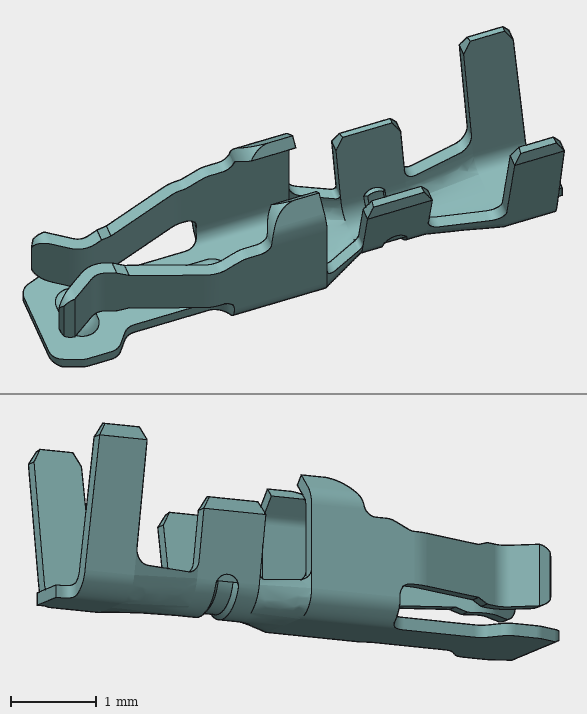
import cadquery as cq
import math

LENGTH = 6.45
SHEET = 0.15

INSULATION_Y = (5.605, 6.25)
CONDUCTOR_Y = (3.895, 4.7)
BOX_Y = (2.2, 3.355)

WING_TILT = 12.1
INSULATION_FLOOR, INSULATION_BEND = 0.265, 0.35
CONDUCTOR_FLOOR, CONDUCTOR_BEND = 0, 0.445
BOX_HALF_WIDTH, BOX_BEND = 0.715, 0.31
BOX_FLOOR = BOX_HALF_WIDTH - BOX_BEND
ROUND_FLOOR_SPLIT = -60
INSULATION = (INSULATION_FLOOR, INSULATION_BEND, WING_TILT)
CONDUCTOR = (CONDUCTOR_FLOOR, CONDUCTOR_BEND, WING_TILT)
BOX = (BOX_FLOOR, BOX_BEND, 0)

INSULATION_TOP = 2
CONDUCTOR_TOP = 1.33
TIP_TAPER = 0.14
TIP_BEVEL = 0.065
TIP_CORNER = (0.095, 0.17)
INSULATION_LEAN = 0.025

TAB_HALF_WIDTH = 0.25
TAB_FILLET = 0.13

TRANSITION_TOP = 0.41
INSULATION_FILLET = 0.18
CONDUCTOR_FILLET = 0.14
BOX_FILLET = 0.13
CRIMP_FRONT_FILLET = 0.065
LOW_WALL_TOP = 0.645

SERRATION_Y = 4.31
SERRATION_DEPTH = 0.055
SERRATION_HALF_WIDTH = 0.095
SERRATION_MOUTH = 0.15
SERRATION_TOP = 0.44
SERRATION_EMBED = 0.025

LIP_START_Z = 1.315
LIP_TOP = 1.715
LIP_ANGLE = 45

ARM_START_Y = 2.01
ARM_IN_ANGLE = 20
ARM_OUT_ANGLE = 36
ARM_BEND = 0.515
CONTACT_Y = 0.75
CONTACT_BEND = 0.19
ARM_TIP_Y = 0.11
ARM_TIP_HALF_SPAN = 0.52

ARM_BOTTOM, ARM_TOP = 0.485, 1.115
ARM_ROOT_FILLET = 0.14
PAD_START_Y, PAD_FULL_Y = 1.01, 0.88
PAD_BOTTOM, PAD_TOP = 0.425, 1.16
TIP_ROUND_LENGTH, TIP_ROUND_HEIGHT = 0.225, 0.18
SHOULDER_FOOT = (2.095, 1.135)
SHOULDER_HEAD = (2.265, 1.21)
SHOULDER_END = (2.38, 1.24)
LIP_FOOT = (2.515, 1.24)
LIP_TURN = (2.665, 1.35)
LIP_MIDDLE = (2.79, 1.605)
LIP_FRONT_Y = 3.03

STRIP_HALF_WIDTH = 0.4
STRIP_FILLET = 0.205
NECK_Y = 0.98
HEAD_HALF_WIDTH = 0.68
HEAD_SHOULDER_Y = 0.775
HEAD_TAPER_Y = 0.36
HEAD_FRONT_HALF_WIDTH = 0.54
HEAD_FILLET = 0.18
FRONT_BEVEL = (0.1, 0.05)

BEAD_HALF_WIDTH = 0.2
BEAD_HEIGHT = 0.085
BEAD_FLAT = 0.025
LONG_BEAD_Y = (1.375, 2.185)
CROSS_BEAD_Y = 0.51
CROSS_BEAD_HALF_LENGTH = 0.16


def polar(center, radius, degrees):
    angle = math.radians(degrees)
    return (center[0] + radius * math.cos(angle), center[1] + radius * math.sin(angle))


def mirrored(half):
    return half.union(half.mirror("YZ"))


def plane_at(y):
    """Plane across the part: local x is X, local y is Z, and extrusion runs toward +Y."""
    return cq.Workplane(cq.Plane(origin=(0, y, 0), xDir=(1, 0, 0), normal=(0, -1, 0)))


def side_plane():
    """Plane along the part: local x is Y and local y is Z."""
    return cq.Workplane("YZ")


def channel_half(workplane, section, top, taper=0, bevel=0):
    """Half section (x > 0) of a bent channel; the outer face of its wall can be bevelled at the tip."""
    floor, bend, tilt = section
    center = (floor, bend)
    inner_bend = bend - SHEET
    split = -90 if floor else ROUND_FLOOR_SPLIT
    floor_middle = (ROUND_FLOOR_SPLIT - 90) / 2
    middle = (split - tilt) / 2
    along = (math.sin(math.radians(tilt)), math.cos(math.radians(tilt)))
    inward = (-along[1], along[0])
    outer = polar(center, bend, -tilt)
    wall = (top - outer[1] - SHEET * along[0]) / along[1] - taper

    def on_wall(distance, depth):
        return tuple(outer[i] + distance * along[i] + depth * inward[i] for i in (0, 1))

    sketch = workplane.moveTo(0, 0)
    if floor:
        sketch = sketch.lineTo(floor, 0)
    else:
        sketch = sketch.threePointArc(polar(center, bend, floor_middle), polar(center, bend, split))
    sketch = sketch.threePointArc(polar(center, bend, middle), outer).lineTo(*on_wall(wall, 0))
    if taper:
        sketch = sketch.lineTo(*on_wall(wall + taper, bevel))
    sketch = sketch.lineTo(*on_wall(wall + taper, SHEET)).lineTo(*on_wall(0, SHEET))
    sketch = sketch.threePointArc(polar(center, inner_bend, middle), polar(center, inner_bend, split))
    if floor:
        sketch = sketch.lineTo(0, SHEET)
    else:
        sketch = sketch.threePointArc(polar(center, inner_bend, floor_middle), (0, SHEET))
    return sketch.close()


def crimp(section, span, top, lean=0):
    """Channel with two tall wings, bevelled outside at the tip and cut at the tip corners."""
    front, back = span
    half = channel_half(plane_at(front), section, top, TIP_TAPER, TIP_BEVEL).extrude(front - back)
    corner_length, corner_height = TIP_CORNER
    outline = [
        (front, 0),
        (back, 0),
        (back, section[1]),
        (back - lean, top - corner_height),
        (back - lean - corner_length, top),
        (front + corner_length, top),
        (front, top - corner_height),
    ]
    return mirrored(half.intersect(side_plane().polyline(outline).close().extrude(LENGTH)))


def wire_tab():
    start = INSULATION_Y[1]
    wide = TAB_HALF_WIDTH + TAB_FILLET
    half = channel_half(plane_at(start), INSULATION, LOW_WALL_TOP).extrude(start - LENGTH)
    corner = (wide, start + TAB_FILLET)
    plan = (
        cq.Workplane("XY")
        .moveTo(0, start)
        .lineTo(wide, start)
        .threePointArc(polar(corner, TAB_FILLET, 225), (TAB_HALF_WIDTH, start + TAB_FILLET))
        .lineTo(TAB_HALF_WIDTH, LENGTH)
        .lineTo(0, LENGTH)
        .close()
        .extrude(INSULATION_BEND)
    )
    return mirrored(half.intersect(plan))


def transition(front_section, back_section, front, back, front_fillet, back_fillet):
    """Lofted channel between two sections, cut down to low sides that sweep up at both ends."""
    start = channel_half(plane_at(front), front_section, LOW_WALL_TOP)
    half = channel_half(start.workplane(offset=front - back), back_section, LOW_WALL_TOP).loft(ruled=True)
    front_center = (front + front_fillet, TRANSITION_TOP + front_fillet)
    back_center = (back - back_fillet, TRANSITION_TOP + back_fillet)
    outline = (
        side_plane()
        .moveTo(front, 0)
        .lineTo(front, front_center[1])
        .threePointArc(polar(front_center, front_fillet, 225), (front_center[0], TRANSITION_TOP))
        .lineTo(back_center[0], TRANSITION_TOP)
        .threePointArc(polar(back_center, back_fillet, 315), (back, back_center[1]))
        .lineTo(back, 0)
        .close()
        .extrude(LENGTH)
    )
    return mirrored(half.intersect(outline))


def wire_transition():
    front, back = CONDUCTOR_Y[1], INSULATION_Y[0]
    return transition(CONDUCTOR, INSULATION, front, back, CONDUCTOR_FILLET, INSULATION_FILLET)


def box_transition():
    front, back = BOX_Y[1], CONDUCTOR_Y[0]
    return transition(BOX, CONDUCTOR, front, back, BOX_FILLET, CRIMP_FRONT_FILLET)


def serration_ring(base_radius, base_half_width, top_radius):
    """Trapezoid ridge around the bend axis of the conductor crimp, arched over at its ends."""
    ring = (
        cq.Workplane("XY")
        .moveTo(base_radius, -base_half_width)
        .lineTo(top_radius, -SERRATION_HALF_WIDTH)
        .lineTo(top_radius, SERRATION_HALF_WIDTH)
        .lineTo(base_radius, base_half_width)
        .close()
        .revolve(360, (0, 0, 0), (0, 1, 0))
        .translate((0, SERRATION_Y, CONDUCTOR_BEND))
    )
    arch_start = SERRATION_TOP - SERRATION_MOUTH
    arch = (
        side_plane()
        .moveTo(SERRATION_Y - SERRATION_MOUTH, 0)
        .lineTo(SERRATION_Y - SERRATION_MOUTH, arch_start)
        .threePointArc((SERRATION_Y, SERRATION_TOP), (SERRATION_Y + SERRATION_MOUTH, arch_start))
        .lineTo(SERRATION_Y + SERRATION_MOUTH, 0)
        .close()
        .extrude(LENGTH, both=True)
    )
    return ring.intersect(arch)


def serrated_conductor_crimp():
    body = crimp(CONDUCTOR, CONDUCTOR_Y, CONDUCTOR_TOP)
    inner_bend = CONDUCTOR_BEND - SHEET
    groove = serration_ring(CONDUCTOR_BEND, SERRATION_MOUTH, CONDUCTOR_BEND - SERRATION_DEPTH)
    ridge = serration_ring(inner_bend + SERRATION_EMBED, SERRATION_MOUTH, inner_bend - SERRATION_DEPTH)
    return body.cut(groove).union(ridge)


def box_wall_section():
    """Half section of the box: floor, lower bend, wall, upper bend and inward lip."""
    low = (BOX_FLOOR, BOX_BEND)
    high = (BOX_FLOOR, LIP_START_Z)
    inner_bend = BOX_BEND - SHEET
    lip_outer = polar(high, BOX_BEND, LIP_ANGLE)
    lip_inner = polar(high, inner_bend, LIP_ANGLE)
    rise = LIP_TOP - lip_outer[1]
    run = rise / math.tan(math.radians(LIP_ANGLE))
    return (
        plane_at(ARM_START_Y)
        .moveTo(0, 0)
        .lineTo(BOX_FLOOR, 0)
        .threePointArc(polar(low, BOX_BEND, -45), (BOX_HALF_WIDTH, BOX_BEND))
        .lineTo(BOX_HALF_WIDTH, LIP_START_Z)
        .threePointArc(polar(high, BOX_BEND, LIP_ANGLE / 2), lip_outer)
        .lineTo(lip_outer[0] - run, LIP_TOP)
        .lineTo(lip_inner[0] - run, lip_inner[1] + rise)
        .lineTo(*lip_inner)
        .threePointArc(polar(high, inner_bend, LIP_ANGLE / 2), (BOX_HALF_WIDTH - SHEET, LIP_START_Z))
        .lineTo(BOX_HALF_WIDTH - SHEET, BOX_BEND)
        .threePointArc(polar(low, inner_bend, -45), (BOX_FLOOR, SHEET))
        .lineTo(0, SHEET)
        .close()
        .extrude(ARM_START_Y - BOX_Y[1])
    )


def arm_plan():
    """Arm seen along Z: it runs inward from the wall, turns at the contact and flares out."""
    tan_in = math.tan(math.radians(ARM_IN_ANGLE))
    wall_center = (BOX_HALF_WIDTH - ARM_BEND, ARM_START_Y)
    inner_bend = ARM_BEND - SHEET
    bend_end = polar(wall_center, ARM_BEND, -ARM_IN_ANGLE)
    contact_start = (bend_end[0] - (bend_end[1] - CONTACT_Y) * tan_in, CONTACT_Y)
    contact_center = polar(contact_start, CONTACT_BEND, -ARM_IN_ANGLE)
    contact_bend = CONTACT_BEND + SHEET
    turn_in = 180 - ARM_IN_ANGLE
    turn_out = 180 + ARM_OUT_ANGLE
    turn_middle = (turn_in + turn_out) / 2
    flare_outer = polar(contact_center, CONTACT_BEND, turn_out)
    flare_inner = polar(contact_center, contact_bend, turn_out)
    flare = (flare_inner[1] - ARM_TIP_Y) / math.cos(math.radians(ARM_OUT_ANGLE))
    plan = (
        cq.Workplane("XY", origin=(0, 0, BOX_BEND))
        .moveTo(BOX_HALF_WIDTH, BOX_Y[1])
        .lineTo(BOX_HALF_WIDTH, ARM_START_Y)
        .threePointArc(polar(wall_center, ARM_BEND, -ARM_IN_ANGLE / 2), bend_end)
        .lineTo(*contact_start)
        .threePointArc(polar(contact_center, CONTACT_BEND, turn_middle), flare_outer)
        .lineTo(*polar(flare_outer, flare, ARM_OUT_ANGLE - 90))
        .lineTo(*polar(flare_inner, flare, ARM_OUT_ANGLE - 90))
        .lineTo(*flare_inner)
        .threePointArc(
            polar(contact_center, contact_bend, turn_middle),
            polar(contact_center, contact_bend, turn_in),
        )
        .lineTo(*polar(wall_center, inner_bend, -ARM_IN_ANGLE))
        .threePointArc(
            polar(wall_center, inner_bend, -ARM_IN_ANGLE / 2),
            (BOX_HALF_WIDTH - SHEET, ARM_START_Y),
        )
        .lineTo(BOX_HALF_WIDTH - SHEET, BOX_Y[1])
        .close()
        .extrude(LIP_START_Z - BOX_BEND)
    )
    flare_limit = cq.Workplane("XY").box(
        ARM_TIP_HALF_SPAN, CONTACT_Y, LIP_START_Z, centered=False
    )
    behind_contact = cq.Workplane("XY").box(
        BOX_HALF_WIDTH, BOX_Y[1] - CONTACT_Y, LIP_START_Z, centered=False
    )
    return plan.intersect(flare_limit.union(behind_contact.translate((0, CONTACT_Y, 0))))


def box_side_outline():
    """Profile of the box wall and its arm seen from the side."""
    front, back = BOX_Y
    corner_share = 1 - math.sqrt(0.5)
    round_start = ARM_TIP_Y + TIP_ROUND_LENGTH
    round_middle = ARM_TIP_Y + corner_share * TIP_ROUND_LENGTH
    round_inset = corner_share * TIP_ROUND_HEIGHT
    return (
        side_plane()
        .moveTo(front, 0)
        .lineTo(front, ARM_BOTTOM - ARM_ROOT_FILLET)
        .threePointArc(
            polar((front - ARM_ROOT_FILLET, ARM_BOTTOM - ARM_ROOT_FILLET), ARM_ROOT_FILLET, 45),
            (front - ARM_ROOT_FILLET, ARM_BOTTOM),
        )
        .lineTo(PAD_START_Y, ARM_BOTTOM)
        .lineTo(PAD_FULL_Y, PAD_BOTTOM)
        .lineTo(round_start, PAD_BOTTOM)
        .threePointArc((round_middle, PAD_BOTTOM + round_inset), (ARM_TIP_Y, PAD_BOTTOM + TIP_ROUND_HEIGHT))
        .lineTo(ARM_TIP_Y, PAD_TOP - TIP_ROUND_HEIGHT)
        .threePointArc((round_middle, PAD_TOP - round_inset), (round_start, PAD_TOP))
        .lineTo(PAD_FULL_Y, PAD_TOP)
        .lineTo(PAD_START_Y, ARM_TOP)
        .lineTo(ARM_START_Y, ARM_TOP)
        .tangentArcPoint(SHOULDER_FOOT, relative=False)
        .lineTo(*SHOULDER_HEAD)
        .tangentArcPoint(SHOULDER_END, relative=False)
        .lineTo(*LIP_FOOT)
        .tangentArcPoint(LIP_TURN, relative=False)
        .threePointArc(LIP_MIDDLE, (LIP_FRONT_Y, LIP_TOP))
        .lineTo(back, LIP_TOP)
        .lineTo(back, 0)
        .close()
        .extrude(LENGTH)
    )


def box_and_arms():
    half = box_wall_section().union(arm_plan()).intersect(box_side_outline())
    return mirrored(half)


def floor_corners():
    """Curved corners that join the lower bends of the box to the narrower strip."""
    start = BOX_Y[0] - STRIP_FILLET
    center = (STRIP_HALF_WIDTH + STRIP_FILLET, start)
    half = channel_half(plane_at(start), BOX, LOW_WALL_TOP).extrude(-STRIP_FILLET)
    plan = (
        cq.Workplane("XY")
        .moveTo(0, start)
        .lineTo(STRIP_HALF_WIDTH, start)
        .threePointArc(polar(center, STRIP_FILLET, 135), (center[0], BOX_Y[0]))
        .lineTo(0, BOX_Y[0])
        .close()
        .extrude(BOX_BEND)
    )
    return mirrored(half.intersect(plan))


def floor_and_head():
    """Flat strip under the arms that widens into the head plate at the mating end."""
    bevel_length, bevel_height = FRONT_BEVEL
    shoulder = [(STRIP_HALF_WIDTH, NECK_Y), (HEAD_HALF_WIDTH, HEAD_SHOULDER_Y)]
    front = [(HEAD_HALF_WIDTH, HEAD_TAPER_Y), (HEAD_FRONT_HALF_WIDTH, 0)]
    right = [(STRIP_HALF_WIDTH, BOX_Y[0])] + shoulder + front
    left = [(-x, y) for x, y in reversed(right)]
    plate = cq.Workplane("XY").polyline(right + left).close().extrude(SHEET)
    rounded = cq.selectors.BoxSelector((-LENGTH, -0.065, -0.065), (LENGTH, NECK_Y + 0.065, SHEET + 0.065))
    plate = plate.edges("|Z").edges(rounded).fillet(HEAD_FILLET)
    bevel = (
        side_plane()
        .polyline([(0, 0), (bevel_length, 0), (0, bevel_height)])
        .close()
        .extrude(LENGTH, both=True)
    )
    return plate.cut(bevel)


def bead_profile():
    """Half section of a bead: a narrow flat crown that curves down to the floor."""
    edge = BEAD_HALF_WIDTH - BEAD_FLAT
    radius = (edge**2 + BEAD_HEIGHT**2) / (2 * BEAD_HEIGHT)
    sweep = math.degrees(math.asin(edge / radius))
    center = (BEAD_FLAT, BEAD_HEIGHT - radius)
    return (
        cq.Workplane("XZ")
        .lineTo(BEAD_HALF_WIDTH, 0)
        .threePointArc(polar(center, radius, 90 - sweep / 2), (BEAD_FLAT, BEAD_HEIGHT))
        .lineTo(0, BEAD_HEIGHT)
        .close()
    )


def bead(length):
    """Raised bar along Y, centered on the origin, with domed ends."""
    bar = mirrored(bead_profile().extrude(length / 2, both=True))
    dome = bead_profile().revolve(360, (0, 0, 0), (0, 1, 0))
    for end in (-length / 2, length / 2):
        bar = bar.union(dome.translate((0, end, 0)))
    return bar


def beads():
    front, back = LONG_BEAD_Y
    long_bead = bead(back - front).translate((0, (front + back) / 2, SHEET))
    cross_bead = bead(2 * CROSS_BEAD_HALF_LENGTH).rotate((0, 0, 0), (0, 0, 1), 90)
    return long_bead.union(cross_bead.translate((0, CROSS_BEAD_Y, SHEET)))


result = (
    crimp(INSULATION, INSULATION_Y, INSULATION_TOP, INSULATION_LEAN)
    .union(wire_tab())
    .union(wire_transition())
    .union(serrated_conductor_crimp())
    .union(box_transition())
    .union(box_and_arms())
    .union(floor_corners())
    .union(floor_and_head())
    .union(beads())
)